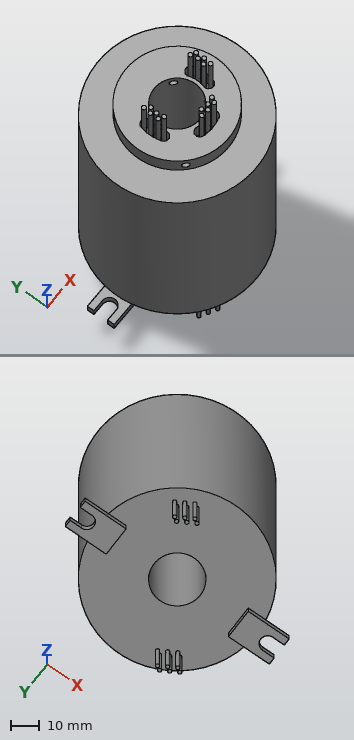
import cadquery as cq
import math

body_height = 86.2
neck_height = 1.5
collar_height = 7.0
wire_length = 14.0
neck_top = body_height + neck_height
collar_top = neck_top + collar_height

body_diameter = 69.0
neck_diameter = 35.1
collar_diameter = 44.9
bore_diameter = 20.0

screw_hole_diameter = 3.1
screw_hole_count = 4
first_screw_angle = 45

tab_span = 88.0
tab_inner_x = 26.4
tab_width = 11.8
tab_thickness = 3.1
fork_width = 6.0
fork_bottom_x = 36.0
tab_angles = [0, 180]

slot_radius = 13.5
slot_width = 4.0
slot_half_angle = 17
slot_angles = [180, 270, 360]

upper_wire_diameter = 1.7
upper_offsets = [(-4.0, 0.4), (-2.2, -1.2), (-1.0, 0.7), (0.7, -0.6), (2.6, 0.7), (3.7, -1.1)]

lower_bundle_radius = 28.2
lower_wire_diameter = 1.5
lower_wire_pitch = 3.5
lower_row_spacing = 1.6
lower_row_shift = 0.9
lower_wires_per_row = 3
lower_bundle_angles = [60, 240]


def cylinder(diameter, bottom, top):
    return cq.Workplane("XY").workplane(offset=bottom).circle(diameter / 2).extrude(top - bottom)


def turned(solid, angle):
    """The solid turned about the main axis."""
    return solid.rotate((0, 0, 0), (0, 0, 1), angle)


def screw_hole():
    """A hole from the main axis out through the +X side of the collar."""
    return (
        cq.Workplane("YZ")
        .center(0, neck_top + collar_height / 2)
        .circle(screw_hole_diameter / 2)
        .extrude(collar_diameter / 2)
    )


def mounting_tab():
    """A tab on the +X side, with a round-bottomed fork open at its outer end."""
    tip_x = tab_span / 2
    fork_centre_x = fork_bottom_x + fork_width / 2
    return (
        cq.Workplane("XY")
        .moveTo(tab_inner_x, -tab_width / 2)
        .lineTo(tip_x, -tab_width / 2)
        .lineTo(tip_x, -fork_width / 2)
        .lineTo(fork_centre_x, -fork_width / 2)
        .threePointArc((fork_bottom_x, 0), (fork_centre_x, fork_width / 2))
        .lineTo(tip_x, fork_width / 2)
        .lineTo(tip_x, tab_width / 2)
        .lineTo(tab_inner_x, tab_width / 2)
        .close()
        .extrude(-tab_thickness)
    )


def wire_slot():
    """A slot on the +X side, curved around the bore."""
    cosine = math.cos(math.radians(slot_half_angle))
    sine = math.sin(math.radians(slot_half_angle))
    end_radius = slot_width / 2
    inner = slot_radius - end_radius
    outer = slot_radius + end_radius
    tip_x = slot_radius * cosine - end_radius * sine
    tip_y = slot_radius * sine + end_radius * cosine
    return (
        cq.Workplane("XY")
        .workplane(offset=neck_top)
        .moveTo(inner * cosine, -inner * sine)
        .threePointArc((tip_x, -tip_y), (outer * cosine, -outer * sine))
        .threePointArc((outer, 0), (outer * cosine, outer * sine))
        .threePointArc((tip_x, tip_y), (inner * cosine, inner * sine))
        .threePointArc((inner, 0), (inner * cosine, -inner * sine))
        .close()
        .extrude(collar_height)
    )


def lower_offsets():
    """(sideways, outward) offsets of the lower wires from the middle of their bundle."""
    offsets = []
    for side in (-1, 1):
        for i in range(lower_wires_per_row):
            along_row = (i - (lower_wires_per_row - 1) / 2) * lower_wire_pitch
            offsets.append((along_row - side * lower_row_shift / 2, side * lower_row_spacing / 2))
    return offsets


def wire_bundle(radius, wire_diameter, offsets, bottom, top):
    """Straight upright wires around a point on the +X side at the given radius."""
    return (
        cq.Workplane("XY")
        .workplane(offset=bottom)
        .pushPoints([(radius + outward, sideways) for sideways, outward in offsets])
        .circle(wire_diameter / 2)
        .extrude(top - bottom)
    )


result = cylinder(body_diameter, 0, body_height)
result = result.union(cylinder(neck_diameter, body_height, neck_top))
result = result.union(cylinder(collar_diameter, neck_top, collar_top))
result = result.cut(cylinder(bore_diameter, 0, collar_top))

for i in range(screw_hole_count):
    screw_angle = first_screw_angle + i * 360 / screw_hole_count
    result = result.cut(turned(screw_hole(), screw_angle))

for tab_angle in tab_angles:
    result = result.union(turned(mounting_tab(), tab_angle))

upper_bundle = wire_bundle(
    slot_radius, upper_wire_diameter, upper_offsets, neck_top, collar_top + wire_length
)
for slot_angle in slot_angles:
    result = result.cut(turned(wire_slot(), slot_angle))
    result = result.union(turned(upper_bundle, slot_angle))

lower_bundle = wire_bundle(
    lower_bundle_radius, lower_wire_diameter, lower_offsets(), -wire_length, 0
)
for bundle_angle in lower_bundle_angles:
    result = result.union(turned(lower_bundle, bundle_angle))